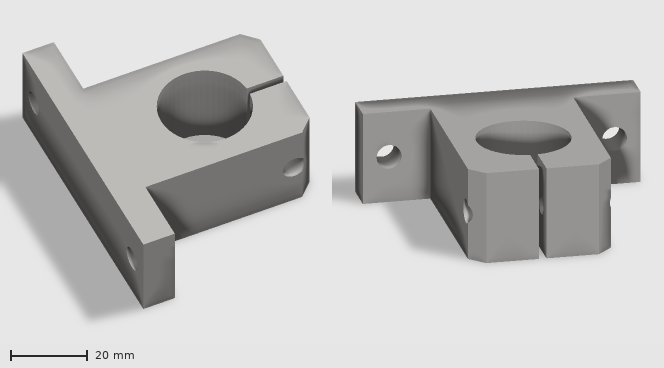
import cadquery as cq

width = 74.0
depth = 58.0
height = 25.0

flange_thickness = 9.0
mount_hole_diameter = 6.6
mount_hole_spacing = 60.0

block_width = 38.0
corner_chamfer = 4.0

bore_diameter = 25.0
bore_y = 35.0
slit_width = 2.0
thread_hole_diameter = 5.0
clearance_hole_diameter = 6.6
screw_hole_y = depth - 6.2

mid_height = height / 2


def make_flange():
    return cq.Workplane("XY").box(width, flange_thickness, height, centered=(True, False, False))


def make_block():
    block = cq.Workplane("XY").box(block_width, depth, height, centered=(True, False, False))
    return block.edges("|Z and >Y").chamfer(corner_chamfer)


def make_bore():
    return cq.Workplane("XY").center(0, bore_y).circle(bore_diameter / 2).extrude(height)


def make_slit():
    slit = cq.Workplane("XY").box(slit_width, depth - bore_y, height, centered=(True, False, False))
    return slit.translate((0, bore_y, 0))


def make_mount_hole(x):
    hole = cq.Workplane("XZ").center(x, mid_height).circle(mount_hole_diameter / 2)
    return hole.extrude(-flange_thickness)


def make_jaw_hole(diameter, side):
    hole = cq.Workplane("YZ").center(screw_hole_y, mid_height).circle(diameter / 2)
    return hole.extrude(side * block_width / 2)


result = make_flange().union(make_block())
result = result.cut(make_bore()).cut(make_slit())
result = result.cut(make_jaw_hole(thread_hole_diameter, -1))
result = result.cut(make_jaw_hole(clearance_hole_diameter, 1))
for side in (-1, 1):
    result = result.cut(make_mount_hole(side * mount_hole_spacing / 2))